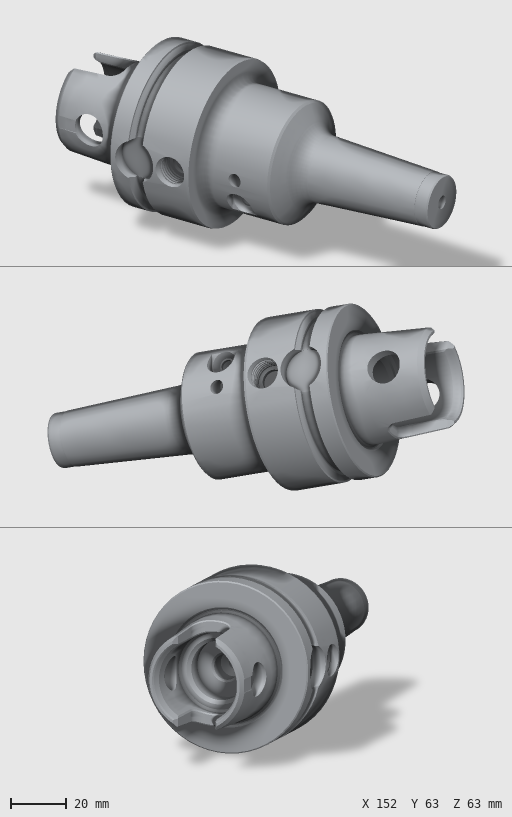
import cadquery as cq
import math

total_length = 152.0
flange_radius = 31.5
body_radius = 23.1
nose_radius = 10.0

shank_face_radius = 17.2
shank_tip_radius = 18.4
shank_base_radius = 19.9
shank_chamfer_length = 2.1
shank_end = 30.2

flange_start = 31.6
flange_end = 64.6
flange_chamfer = 0.5
flange_edge = 0.9
flange_edge_drop = 0.23
groove_center = 42.0
groove_floor_half = 1.8
groove_mouth_half = 3.0
groove_edge_radius = 30.7
groove_shoulder_radius = 28.9
groove_floor_radius = 27.7
face_recess_radius = 21.9
face_recess_depth = 0.8

body_fillet = 3.2
body_end = 92.7
body_edge_end = 93.5
body_edge_radius = 22.3
shoulder_end = 96.8
shoulder_radius = 16.1
neck_start = 103.4
neck_radius = 12.5
nose_taper_end = 146.7
nose_taper_radius = 10.2
nose_edge = 0.6
nose_edge_drop = 0.3

mouth_radius = 16.3
lead_in_radius = 15.8
mouth_chamfer_length = 0.8
lead_in_end = 3.5
bore_radius = 14.9
bore_end = 23.4
seat_radius = 14.0
seat_depth = 24.3
well_mouth_radius = 12.2
well_radius = 10.8
well_chamfer_length = 1.4
well_floor = 31.9
socket_radius = 5.5
socket_depth = 39.5
socket_core_radius = 4.7
coolant_radius = 2.51
socket_cone_end = socket_depth + socket_core_radius - coolant_radius

slot_width = 14.3
slot_end = 19.9
slot_corner_radius = 4.0
slot_lead_in = 1.2
slot_lead_in_length = 2.0
slot_chamfer = 0.5
tolerance = 0.02
cross_hole_center = 15.0
cross_hole_diameter = 12.5
flat_width = 5.0
flat_level = 18.16

recess_diameter = 16.0
recess_level = 26.5
balance_center = 57.0
balance_diameter = 12.0
balance_core_diameter = 11.0
balance_mouth_depth = 1.8
balance_level = 22.8
thread_count = 5
thread_pitch = 1.2
thread_groove_width = 0.6
balance_tip_diameter = 8.0
balance_tip_level = 21.3

clamp_center = 79.0
clamp_height = 12.08
pocket_width = 10.3
pocket_level = 16.1
counterbore_diameter = 9.3
counterbore_level = 14.0
counterbore_floor_diameter = 5.8
socket_hole_diameter = 4.5
socket_hole_level = 12.8
oil_hole_diameter = 5.0
oil_hole_height = 0.9
oil_hole_depth = 9.1
oil_hole_tilt = 20.0


def turned_body():
    """Outside of the holder, revolved about X."""
    fillet_start = body_radius + body_fillet
    return (
        cq.Workplane("XY")
        .moveTo(0, 0)
        .lineTo(0, shank_face_radius)
        .lineTo(shank_chamfer_length, shank_tip_radius)
        .lineTo(shank_end, shank_base_radius)
        .lineTo(flange_start, shank_base_radius)
        .lineTo(flange_start + face_recess_depth, shank_base_radius + face_recess_depth)
        .lineTo(flange_start + face_recess_depth, face_recess_radius - face_recess_depth)
        .lineTo(flange_start, face_recess_radius)
        .lineTo(flange_start, flange_radius - flange_chamfer)
        .lineTo(flange_start + flange_chamfer, flange_radius)
        .lineTo(groove_center - groove_mouth_half, flange_radius)
        .lineTo(groove_center - groove_mouth_half, groove_edge_radius)
        .lineTo(groove_center - groove_floor_half, groove_shoulder_radius)
        .lineTo(groove_center - groove_floor_half, groove_floor_radius)
        .lineTo(groove_center + groove_floor_half, groove_floor_radius)
        .lineTo(groove_center + groove_floor_half, groove_shoulder_radius)
        .lineTo(groove_center + groove_mouth_half, groove_edge_radius)
        .lineTo(groove_center + groove_mouth_half, flange_radius)
        .lineTo(flange_end - flange_edge, flange_radius)
        .lineTo(flange_end, flange_radius - flange_edge_drop)
        .lineTo(flange_end, fillet_start)
        .radiusArc((flange_end + body_fillet, body_radius), -body_fillet)
        .lineTo(body_end, body_radius)
        .lineTo(body_edge_end, body_edge_radius)
        .lineTo(shoulder_end, shoulder_radius)
        .tangentArcPoint((neck_start, neck_radius), relative=False)
        .lineTo(nose_taper_end, nose_taper_radius)
        .lineTo(nose_taper_end, nose_radius)
        .lineTo(total_length - nose_edge, nose_radius)
        .lineTo(total_length, nose_radius - nose_edge_drop)
        .lineTo(total_length, 0)
        .close()
        .revolve(360, (0, 0, 0), (1, 0, 0))
    )


def stepped_bore():
    """Clamping bore, coolant socket and through hole, revolved about X."""
    return (
        cq.Workplane("XY")
        .moveTo(0, 0)
        .lineTo(0, mouth_radius)
        .lineTo(mouth_chamfer_length, lead_in_radius)
        .lineTo(lead_in_end, bore_radius)
        .lineTo(bore_end, bore_radius)
        .lineTo(seat_depth, seat_radius)
        .lineTo(seat_depth, well_mouth_radius)
        .lineTo(seat_depth + well_chamfer_length, well_radius)
        .lineTo(well_floor, well_radius)
        .lineTo(well_floor, socket_radius)
        .lineTo(well_floor + socket_radius - socket_core_radius, socket_core_radius)
        .lineTo(socket_depth, socket_core_radius)
        .lineTo(socket_cone_end, coolant_radius)
        .lineTo(total_length, coolant_radius)
        .lineTo(total_length, 0)
        .close()
        .revolve(360, (0, 0, 0), (1, 0, 0))
    )


def drive_slot():
    """Slot through both shank walls along Z, flared at the shank mouth."""
    half_width = slot_width / 2
    half_mouth = half_width + slot_lead_in
    return (
        cq.Workplane("XY")
        .moveTo(0, -half_mouth)
        .lineTo(slot_lead_in_length, -half_width)
        .lineTo(slot_end, -half_width)
        .lineTo(slot_end, half_width)
        .lineTo(slot_lead_in_length, half_width)
        .lineTo(0, half_mouth)
        .close()
        .extrude(flange_radius, both=True)
        .edges("|Z and >X")
        .fillet(slot_corner_radius)
    )


def side_cylinder(x, z, diameter, level, outer_level=flange_radius):
    """Cylinder on the -Y side with its inner end at Y = -level."""
    start = cq.Vector(x, -outer_level, z)
    return cq.Workplane(cq.Solid.makeCylinder(diameter / 2, outer_level - level, start, cq.Vector(0, 1, 0)))


def side_cone(x, z, outer_diameter, outer_level, inner_diameter, inner_level):
    """Cone on the -Y side, narrowing from outer_level to inner_level."""
    start = cq.Vector(x, -outer_level, z)
    depth = outer_level - inner_level
    return cq.Workplane(
        cq.Solid.makeCone(outer_diameter / 2, inner_diameter / 2, depth, start, cq.Vector(0, 1, 0))
    )


def balance_hole():
    """Stepped blind hole beside the gripping groove."""
    core_start = flange_radius - balance_mouth_depth
    mouth = side_cone(balance_center, 0, balance_diameter, flange_radius, balance_core_diameter, core_start)
    core = side_cylinder(balance_center, 0, balance_core_diameter, balance_level)
    tip = side_cylinder(balance_center, 0, balance_tip_diameter, balance_tip_level)
    hole = mouth.union(core).union(tip)
    for turn in range(thread_count):
        groove_start = core_start - thread_groove_width - turn * thread_pitch
        groove_end = groove_start - thread_groove_width
        hole = hole.union(side_cylinder(balance_center, 0, balance_diameter, groove_end, groove_start))
    return hole


def clamp_pocket():
    """Round-topped pocket open downwards, with a conical screw socket in its floor."""
    depth = body_radius - pocket_level
    arch = side_cylinder(clamp_center, -clamp_height, pocket_width, pocket_level, body_radius)
    run_out = cq.Workplane("XY").box(pocket_width, depth, body_radius, centered=(True, False, False))
    run_out = run_out.translate((clamp_center, -body_radius, -clamp_height - body_radius))
    counterbore = side_cone(
        clamp_center,
        -clamp_height,
        counterbore_diameter,
        pocket_level,
        counterbore_floor_diameter,
        counterbore_level,
    )
    socket = side_cylinder(
        clamp_center, -clamp_height, socket_hole_diameter, socket_hole_level, pocket_level
    )
    tip_level = socket_hole_level - socket_hole_diameter / 2
    tip = side_cone(clamp_center, -clamp_height, socket_hole_diameter, socket_hole_level, 0, tip_level)
    return arch.union(run_out).union(counterbore).union(socket).union(tip)


def oil_hole():
    """Small blind hole in the body, sloping down as it goes in."""
    tilt = math.radians(oil_hole_tilt)
    inward = cq.Vector(0, math.cos(tilt), -math.sin(tilt))
    entry = cq.Vector(clamp_center, -body_radius, -oil_hole_height)
    start = entry - inward * oil_hole_depth
    return cq.Workplane(cq.Solid.makeCylinder(oil_hole_diameter / 2, 2 * oil_hole_depth, start, inward))


def side_features():
    """All cuts made into the -Y side of the flange and body."""
    recess = side_cylinder(groove_center, 0, recess_diameter, recess_level)
    return recess.union(balance_hole()).union(clamp_pocket()).union(oil_hole())


def shank_flat():
    """Narrow flat on the -Y side, from the shank mouth to the cross hole."""
    depth = shank_base_radius - flat_level
    flat = cq.Workplane("XY").box(cross_hole_center, depth, flat_width, centered=(False, False, True))
    return flat.translate((0, -shank_base_radius, 0))


def is_slot_rim(edge):
    """True for the lengthwise slot edges on the outer shank wall and on the clamping bore."""
    center = edge.Center()
    box = edge.BoundingBox()
    in_slot = box.xmax < slot_end + tolerance and max(box.ymax, -box.ymin) < slot_width / 2 + tolerance
    across_wall = abs(center.x - slot_end) < tolerance and edge.geomType() == "LINE"
    radius = math.hypot(center.y, center.z)
    on_bore = center.x > lead_in_end and radius < bore_radius + slot_chamfer
    on_shank = center.x > shank_chamfer_length and radius > shank_face_radius
    return in_slot and not across_wall and (on_bore or on_shank)


def break_slot_edges(holder):
    """Chamfer the slot edges on both sides of the shank wall."""
    return holder.edges().filter(is_slot_rim).chamfer(slot_chamfer)


cross_hole = side_cylinder(cross_hole_center, 0, cross_hole_diameter, -flange_radius)
cuts = side_features()

result = turned_body().cut(stepped_bore()).cut(drive_slot())
result = break_slot_edges(result)
result = result.cut(cross_hole).cut(shank_flat())
result = result.cut(cuts).cut(cuts.rotate((0, 0, 0), (1, 0, 0), 180))